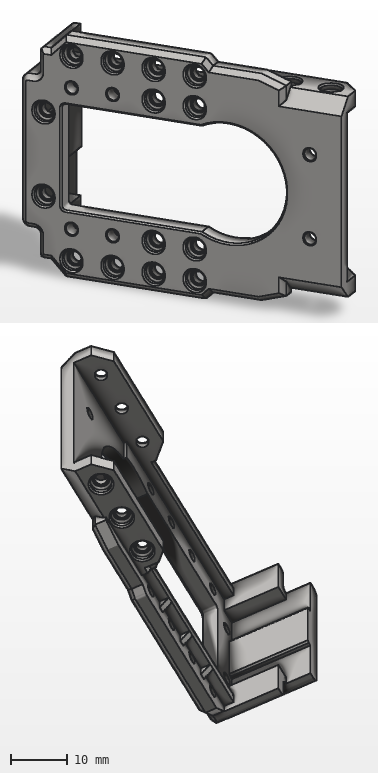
import cadquery as cq
import math

length = 62.6
height = 46.0
half_height = height / 2
total_depth = 18.9

plate_thickness = 3.2
edge_chamfer = 1.0
plate_end_x = 51.4
plate_end_z = 20.05
waist_z = 21.6
tall_start_x = 8.5
tall_end_x = 35.75
tall_end_radius = 1.0
taper_start_x = 46.6

end_wall_z = 14.6
end_wall_thickness = 2.5
end_wall_corner = 1.5
lug_x = 3.5
lug_thickness = 2.0
lug_z = 20.1
lug_depth = 14.0
lug_corner = 1.0
lug_root_radius = 1.0
lug_back_x = lug_x + lug_thickness

pad_half_height = 5.65
pad_chamfer = 0.4

window_x = 8.0
window_half_height = 10.1
window_corner = 0.75
window_circle_x = 40.45
window_circle_radius = 11.3
window_chamfer = 0.3

hole_pitch = 8.0
hole_radius = 1.1
hole_chamfer = 0.2
counterbore_radius = 1.95
counterbore_chamfer = 0.3
counterbore_depth = 1.05
floor_cone_radius = 1.5
row_x = 9.95
row_count = 4
outer_row_z = 19.45
inner_row_z = 13.45
first_inner_counterbore = 2
end_hole_z = hole_pitch
left_hole_x = 4.5
right_hole_x = 56.4

flange_depth = 9.0
flange_inner_z = 16.1
flange_outer_z = 19.1
flange_corner = 3.0
flange_edge_chamfer = 2.8
flange_hole_y = 5.65
flange_hole_count = 3

recess_x = 43.3
recess_depth = 0.6

low_wall_depth = 5.1
low_wall_outer_z = 18.35
gusset_width = 1.2
gusset_height = low_wall_depth - plate_thickness
flange_hole_x = row_x + row_count * hole_pitch
flange_x = flange_hole_x - (hole_pitch + gusset_width) / 2


def block(x0, x1, y0, y1, z0, z1):
    """Box between two opposite corners."""
    return cq.Workplane("XY").box(x1 - x0, y1 - y0, z1 - z0, centered=False).translate((x0, y0, z0))


def both_sides(shape):
    """The shape together with its mirror image across Z = 0."""
    return shape.union(shape.mirror("XY"))


def round_corners(prism, x, z, radius):
    """Round the two full-depth edges of the prism at (x, z) and (x, -z)."""
    margin = 0.05
    middle = total_depth / 2
    for side_z in (z, -z):
        low = (x - margin, middle - margin, side_z - margin)
        high = (x + margin, middle + margin, side_z + margin)
        prism = prism.edges("|Y").edges(cq.selectors.BoxSelector(low, high)).fillet(radius)
    return prism


def outline_prism():
    """Outer outline over the full depth, chamfered around the front face."""
    upper = [
        (0, end_wall_z),
        (lug_x, end_wall_z),
        (lug_x, lug_z),
        (tall_start_x - (half_height - lug_z), lug_z),
        (tall_start_x, half_height),
        (tall_end_x, half_height),
        (tall_end_x + half_height - waist_z, waist_z),
        (taper_start_x, waist_z),
        (plate_end_x, plate_end_z),
    ]
    lower = [(x, -z) for x, z in reversed(upper)]
    prism = cq.Workplane("XZ").polyline(upper + lower).close().extrude(-total_depth)

    prism = round_corners(prism, 0, end_wall_z, end_wall_corner)
    prism = round_corners(prism, lug_x, end_wall_z, lug_root_radius)
    chamfered = prism.faces("<Y").edges().chamfer(edge_chamfer)

    rounded = round_corners(prism, lug_x, lug_z, lug_corner)
    rounded = round_corners(rounded, tall_end_x, half_height, tall_end_radius)
    return chamfered.intersect(rounded)


def plate_and_end_wall():
    """Plate, end wall and lugs, all trimmed by the same outline."""
    plate = block(0, plate_end_x, 0, plate_thickness, -half_height, half_height)
    wall = block(0, end_wall_thickness, 0, total_depth, -end_wall_z, end_wall_z)
    lug = block(0, lug_back_x, 0, lug_depth, end_wall_z - lug_thickness, lug_z)
    return outline_prism().intersect(plate.union(wall).union(both_sides(lug)))


def end_wall_pad():
    """Pad on the end wall with chamfered long edges."""
    pad = block(end_wall_thickness, lug_x, plate_thickness, total_depth, -pad_half_height, pad_half_height)
    return pad.edges("|Y and >X").chamfer(pad_chamfer)


def end_plate():
    """Narrower plate end, chamfered along both front edges."""
    end = block(flange_x, length, 0, plate_thickness, -flange_outer_z, flange_outer_z)
    return end.edges("|X and <Y").chamfer(flange_edge_chamfer)


def upper_flange():
    """Upper flange with its rear corners cut and a sloped step at the inner end."""
    flange = block(flange_x, length, flange_edge_chamfer, flange_depth, flange_inner_z, flange_outer_z)
    flange = flange.edges("|Z and >Y").chamfer(flange_corner)
    step = flange_outer_z - low_wall_outer_z
    notch = (
        cq.Workplane("YZ", origin=(flange_x, 0, 0))
        .moveTo(low_wall_depth - step, flange_outer_z)
        .lineTo(low_wall_depth, low_wall_outer_z)
        .lineTo(flange_depth, low_wall_outer_z)
        .lineTo(flange_depth, flange_outer_z)
        .close()
        .extrude(gusset_width)
    )
    return flange.cut(notch)


def upper_low_wall():
    """Low wall along the back of the plate and its triangular gussets."""
    wall = block(lug_x, flange_x, edge_chamfer, low_wall_depth, flange_inner_z, low_wall_outer_z)
    for i in range(row_count - 1):
        gusset_x = row_x + (i + 0.5) * hole_pitch - gusset_width / 2
        gusset = (
            cq.Workplane("YZ", origin=(gusset_x, 0, 0))
            .moveTo(plate_thickness, low_wall_outer_z)
            .lineTo(low_wall_depth, low_wall_outer_z)
            .lineTo(plate_thickness, low_wall_outer_z + gusset_height)
            .close()
            .extrude(gusset_width)
        )
        wall = wall.union(gusset)
    return wall


def back_recess():
    """Cutter for the recess, open at the end of the plate."""
    floor_y = plate_thickness - recess_depth
    return block(recess_x, length, floor_y, plate_thickness, -flange_inner_z, flange_inner_z)


def window():
    """Window cutter with a chamfered front rim."""
    junction_x = window_circle_x - math.sqrt(window_circle_radius**2 - window_half_height**2)
    cutter = (
        cq.Workplane("XZ")
        .moveTo(window_x, -window_half_height)
        .lineTo(junction_x, -window_half_height)
        .threePointArc(
            (window_circle_x + window_circle_radius, 0),
            (junction_x, window_half_height),
        )
        .lineTo(window_x, window_half_height)
        .close()
        .extrude(-plate_thickness)
    )
    cutter = cutter.edges("|Y and <X").fillet(window_corner)
    rim = (
        cutter.faces("<Y")
        .wires()
        .toPending()
        .offset2D(window_chamfer)
        .extrude(-window_chamfer, taper=45)
    )
    return cutter.union(rim)


def hole_cutter(counterbored, depth):
    """Screw hole cutter along +Y, entering at the origin."""
    if counterbored:
        floor = counterbore_depth + counterbore_radius - floor_cone_radius
        profile = [
            (0, 0),
            (counterbore_radius + counterbore_chamfer, 0),
            (counterbore_radius, counterbore_chamfer),
            (counterbore_radius, counterbore_depth),
            (floor_cone_radius, floor),
        ]
    else:
        floor = 0
        profile = [(0, 0)]
    profile += [
        (hole_radius + hole_chamfer, floor),
        (hole_radius, floor + hole_chamfer),
        (hole_radius, depth),
        (0, depth),
    ]
    return cq.Workplane("XY").polyline(profile).close().revolve(360, (0, 0, 0), (0, 1, 0))


def plate_holes():
    """All screw holes through the plate."""
    places = [(left_hole_x, end_hole_z, True), (right_hole_x, end_hole_z, False)]
    for i in range(row_count):
        x = row_x + i * hole_pitch
        places.append((x, outer_row_z, True))
        places.append((x, inner_row_z, i >= first_inner_counterbore))
    holes = cq.Workplane("XY")
    for x, z, counterbored in places:
        for side in (1, -1):
            cutter = hole_cutter(counterbored, total_depth)
            holes = holes.add(cutter.translate((x, 0, side * z)))
    return holes.combine()


def upper_flange_holes():
    """Counterbored holes entering the outer face of the upper flange."""
    depth = 2 * (flange_outer_z - flange_inner_z)
    cutter = hole_cutter(True, depth).rotate((0, 0, 0), (1, 0, 0), -90)
    holes = cq.Workplane("XY")
    for i in range(flange_hole_count):
        holes = holes.add(cutter.translate((flange_hole_x + i * hole_pitch, flange_hole_y, flange_outer_z)))
    return holes.combine()


result = (
    plate_and_end_wall()
    .union(end_wall_pad())
    .union(end_plate())
    .union(both_sides(upper_flange().union(upper_low_wall())))
    .cut(back_recess())
    .cut(window())
    .cut(plate_holes())
    .cut(both_sides(upper_flange_holes()))
)